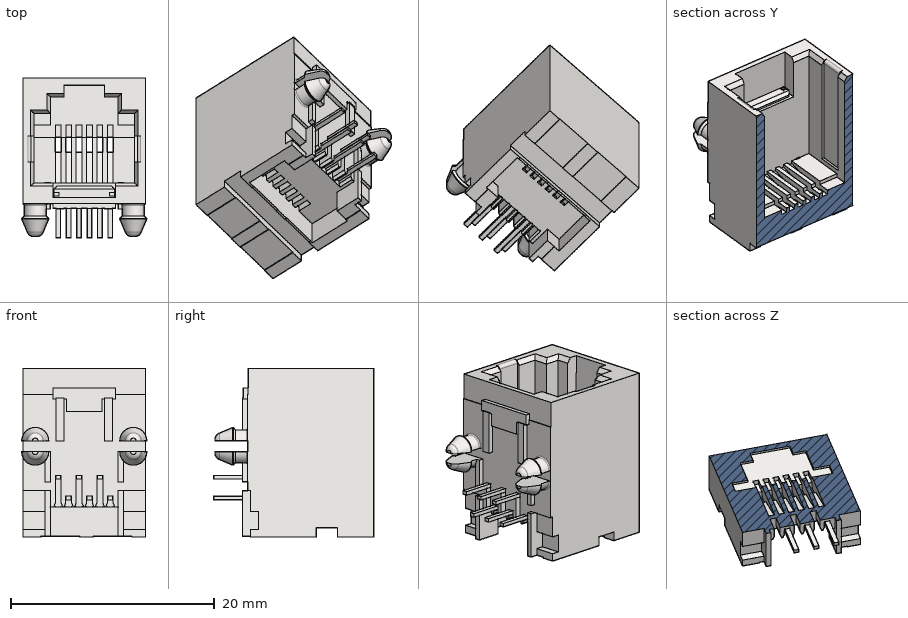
import cadquery as cq
import math


width = 12.04
height = 16.55
back_y = 12.39
half_width = width / 2
collar_bottom_z = 14.01
collar_setback = 0.07

chamber_half, chamber_back_y = 4.95, 8.88
step_half, step_back_y = 3.33, 10.50
latch_half, latch_back_y = 2.01, 11.62
chamber_front_y = 2.06
lead_in_side = 0.31
lead_in_back = 0.36
lead_in_front = 0.30
latch_draft = 0.08
lead_in_depth = 0.50

front_floor_z = 4.50
rear_floor_z = 4.10
corner_floor_z = 4.90
floor_step_y = 6.55
corner_floor_y = 7.75

groove_half = 5.20
groove_floor_z = 5.00
groove_front_y, groove_back_y = 4.14, 6.70
groove_lead_radius = 0.34

plate_half = 3.07
relief_front_y = 0.65
relief_floor_z = 12.00
ledge_top_z = 12.50
ledge_half = 2.98
ledge_back_y = 1.76
ledge_chamfer = 0.30
ledge_pocket_x, ledge_pocket_width = 2.73, 0.46
ledge_pocket_front_y, ledge_pocket_back_y = 0.78, 1.13
ledge_pocket_depth = 0.20

pin_count = 6
pin_pitch = 1.02
slot_width = 0.55
wire_back_y = 5.09
wire_back_drop, wire_front_drop = 1.00, 0.30
rear_slot_depth = 0.50
pin_width, pin_thickness = 0.48, 0.36
pin_tip_y = -3.32
long_row_top_z, short_row_top_z = 6.06, 4.02
wall_slot_width, slot_mouth_width = 0.58, 0.90
wall_slot_depth = 1.50
slot_flare_z = 3.35

cavity_half = 3.33
cavity_top_z = 2.97
cavity_wide_half = 4.90
wing_back_y = 2.14

standoff_y = -0.50
wing_thickness = 0.50
wing_half = cavity_half + wing_thickness
wing_top_z = 4.57
upper_rib_bottom_z = 5.43
plate_y = -0.42
plate_top_z, plate_bottom_z = 14.65, 13.58
tongue_half, tongue_bottom_z = 1.73, 12.33
tongue_fillet = 0.10
bar_inner_x, bar_outer_x = 2.00, 2.79
bar_top_z = 13.66

peg_x = 4.81
peg_z = 8.915
peg_gap = 1.05
peg_stem_radius, peg_barb_radius = 1.10, 1.33
peg_taper_radius, peg_tip_radius = 0.79, 0.28
peg_tip_bulge = 0.06
peg_root_fillet = 0.12
peg_stem_y, peg_barb_y, peg_barb_end_y = -1.18, -1.40, -1.47
peg_taper_y, peg_tip_y = -2.75, -3.20

corner_cut_y = 0.29
corner_pocket_y = 1.08
corner_pocket_bottom_z, corner_pocket_top_z = 0.77, 2.53
foot_height = 0.08
left_foot_x, right_foot_x = -4.26, 4.67
pad_left_x, pad_right_x = -0.46, 0.90
notch_front_y, notch_back_y, notch_height = 6.76, 8.81, 0.91


def box(x0, x1, y0, y1, z0, z1):
    return cq.Workplane("XY").box(x1 - x0, y1 - y0, z1 - z0, centered=False).translate((x0, y0, z0))


def both_sides(shape):
    return shape.union(shape.mirror("YZ"))


def tapered_mouth(inner, outer):
    """Ruled lead-in from the rim outline down to the chamber outline."""
    return (
        cq.Workplane("XY", origin=(0, 0, height - lead_in_depth))
        .polyline(inner).close()
        .workplane(offset=lead_in_depth)
        .polyline(outer).close()
        .loft(ruled=True)
    )


def stepped_outline(side, back, front):
    """Chamber and key step outline, enlarged by the given amounts."""
    right = [
        (chamber_half + side, chamber_front_y - front),
        (chamber_half + side, chamber_back_y + back),
        (step_half + side, chamber_back_y + back),
        (step_half + side, step_back_y + back),
    ]
    return right + [(-x, y) for x, y in reversed(right)]


def latch_step():
    """Latch step of the plug opening, its back wall drafted over the full depth."""
    profile = [
        (chamber_back_y, rear_floor_z),
        (latch_back_y, rear_floor_z),
        (latch_back_y + latch_draft, height),
        (chamber_back_y, height),
    ]
    return (
        cq.Workplane("YZ", origin=(-latch_half, 0, 0))
        .polyline(profile).close()
        .extrude(2 * latch_half)
    )


def housing():
    body = box(-half_width, half_width, 0, back_y, 0, height)
    collar = box(-half_width, half_width, 0, collar_setback, collar_bottom_z, height)
    return body.cut(collar)


def plug_opening():
    cut = box(-chamber_half, chamber_half, chamber_front_y, floor_step_y, front_floor_z, height)
    cut = cut.union(
        box(-chamber_half, chamber_half, floor_step_y, corner_floor_y, rear_floor_z, height)
    )
    cut = cut.union(
        box(-chamber_half, chamber_half, corner_floor_y, chamber_back_y, corner_floor_z, height)
    )
    cut = cut.union(box(-step_half, step_half, corner_floor_y, step_back_y, rear_floor_z, height))
    cut = cut.union(latch_step())
    rim = stepped_outline(lead_in_side, lead_in_back, lead_in_front)
    return cut.union(tapered_mouth(stepped_outline(0, 0, 0), rim))


def guide_grooves():
    round_start_z = height - groove_lead_radius
    diagonal = groove_lead_radius * math.sqrt(0.5)
    mouth_half = groove_half + groove_lead_radius
    groove = (
        cq.Workplane("XZ", origin=(0, groove_back_y, 0))
        .moveTo(0, groove_floor_z)
        .lineTo(groove_half, groove_floor_z)
        .lineTo(groove_half, round_start_z)
        .threePointArc((mouth_half - diagonal, round_start_z + diagonal), (mouth_half, height))
        .lineTo(0, height)
        .close()
        .extrude(groove_back_y - groove_front_y)
    )
    return both_sides(groove)


def wall_relief():
    return box(-plate_half, plate_half, relief_front_y, chamber_front_y, relief_floor_z, height)


def relief_ledge():
    """Chamfered ledge in the wall relief with a small pocket at each end."""
    shoulder_half = ledge_half - ledge_chamfer
    shoulder_y = ledge_back_y - ledge_chamfer
    right = [
        (ledge_half, relief_front_y),
        (ledge_half, shoulder_y),
        (shoulder_half, ledge_back_y),
    ]
    ledge = (
        cq.Workplane("XY", origin=(0, 0, relief_floor_z))
        .polyline(right + [(-x, y) for x, y in reversed(right)]).close()
        .extrude(ledge_top_z - relief_floor_z)
    )
    chamfer = (
        cq.Workplane("YZ", origin=(-ledge_half, 0, 0))
        .polyline([
            (shoulder_y, ledge_top_z),
            (ledge_back_y, ledge_top_z),
            (ledge_back_y, ledge_top_z - ledge_chamfer),
        ]).close()
        .extrude(2 * ledge_half)
    )
    pocket = box(
        ledge_pocket_x - ledge_pocket_width / 2, ledge_pocket_x + ledge_pocket_width / 2,
        ledge_pocket_front_y, ledge_pocket_back_y,
        ledge_top_z - ledge_pocket_depth, ledge_top_z,
    )
    return ledge.cut(chamfer).cut(both_sides(pocket))


def contact_slot(x):
    """Slot above one sloping wire, open to the cavity behind the wire, blind at the rear."""
    profile = [
        (chamber_front_y, front_floor_z),
        (chamber_front_y, front_floor_z - wire_front_drop),
        (wire_back_y, front_floor_z - wire_back_drop),
        (wire_back_y, cavity_top_z),
        (floor_step_y, cavity_top_z),
        (floor_step_y, rear_floor_z - rear_slot_depth),
        (corner_floor_y, rear_floor_z - rear_slot_depth),
        (corner_floor_y, front_floor_z),
    ]
    return (
        cq.Workplane("YZ", origin=(x - slot_width / 2, 0, 0))
        .polyline(profile).close()
        .extrude(slot_width)
    )


def wire_cavity():
    mouth = box(-cavity_half, cavity_half, 0, wing_back_y, 0, cavity_top_z)
    return mouth.union(
        box(-cavity_wide_half, cavity_wide_half, wing_back_y, floor_step_y, 0, cavity_top_z)
    )


def pin_slot(x, top_z):
    """Slot in the board-side wall, flared where it opens into the cavity."""
    right = [
        (slot_mouth_width / 2, cavity_top_z),
        (wall_slot_width / 2, slot_flare_z),
        (wall_slot_width / 2, top_z),
    ]
    outline = right + [(-dx, z) for dx, z in reversed(right)]
    return (
        cq.Workplane("XZ", origin=(x, wall_slot_depth, 0))
        .polyline(outline).close()
        .extrude(wall_slot_depth)
    )


def pin(x, top_z):
    return box(
        x - pin_width / 2, x + pin_width / 2,
        pin_tip_y, wall_slot_depth,
        top_z - pin_thickness, top_z,
    )


def front_plate():
    """Plate with a filleted tongue below it."""
    plate = box(-plate_half, plate_half, plate_y, collar_setback, plate_bottom_z, plate_top_z)
    tongue = box(-tongue_half, tongue_half, plate_y, collar_setback, tongue_bottom_z, plate_bottom_z)
    inner_corners = cq.selectors.BoxSelector(
        (-tongue_half - tongue_fillet, plate_y - tongue_fillet, plate_bottom_z - tongue_fillet),
        (tongue_half + tongue_fillet, tongue_fillet, plate_bottom_z + tongue_fillet),
    )
    return plate.union(tongue).edges("|Y").edges(inner_corners).fillet(tongue_fillet)


def standoffs():
    """Bars beside the tongue, ribs beside the pegs and wings along the cavity mouth."""
    upper_half_z = peg_z + peg_gap / 2
    lower_half_z = peg_z - peg_gap / 2
    bar = box(bar_inner_x, bar_outer_x, standoff_y, 0, upper_half_z, bar_top_z)
    rib = box(cavity_half, wing_half, standoff_y, 0, upper_rib_bottom_z, lower_half_z)
    wing = box(cavity_half, wing_half, standoff_y, wing_back_y, foot_height, wing_top_z)
    return both_sides(bar.union(rib).union(wing))


def peg_half():
    """Upper half of a snap peg, its flat on z = 0 and its axis along Y."""
    root_radius = peg_stem_radius + peg_root_fillet
    root_bulge = peg_root_fillet * (1 - math.sqrt(0.5))
    tip_bulge_radius = (peg_taper_radius + peg_tip_radius) / 2 + peg_tip_bulge
    tip_bulge_y = (peg_taper_y + peg_tip_y) / 2 - peg_tip_bulge
    return (
        cq.Workplane("XY")
        .moveTo(0, 0)
        .lineTo(root_radius, 0)
        .threePointArc(
            (peg_stem_radius + root_bulge, -root_bulge), (peg_stem_radius, -peg_root_fillet)
        )
        .lineTo(peg_stem_radius, peg_stem_y)
        .lineTo(peg_barb_radius, peg_barb_y)
        .lineTo(peg_barb_radius, peg_barb_end_y)
        .lineTo(peg_taper_radius, peg_taper_y)
        .threePointArc((tip_bulge_radius, tip_bulge_y), (peg_tip_radius, peg_tip_y))
        .lineTo(0, peg_tip_y)
        .close()
        .revolve(180, (0, 0, 0), (0, -1, 0))
    )


def pegs():
    half = peg_half()
    upper = half.translate((peg_x, 0, peg_gap / 2))
    lower = half.mirror("XY").translate((peg_x, 0, -peg_gap / 2))
    return both_sides(upper.union(lower).translate((0, 0, peg_z)))


def corner_cuts():
    cut = box(wing_half, half_width, 0, corner_cut_y, 0, wing_top_z)
    pocket = box(
        wing_half, half_width, 0, corner_pocket_y, corner_pocket_bottom_z, corner_pocket_top_z
    )
    return both_sides(cut.union(pocket))


def underside_cuts():
    notch = box(-half_width, half_width, notch_front_y, notch_back_y, 0, notch_height)
    left_band = box(left_foot_x, pad_left_x, 0, back_y, 0, foot_height)
    right_band = box(pad_right_x, right_foot_x, 0, back_y, 0, foot_height)
    return notch.union(left_band).union(right_band)


result = housing().cut(plug_opening()).cut(guide_grooves()).cut(wall_relief())
result = result.union(relief_ledge())
result = result.cut(wire_cavity()).cut(corner_cuts()).cut(underside_cuts())
result = result.union(front_plate()).union(standoffs()).union(pegs())

for index in range(pin_count):
    pin_x = (index - (pin_count - 1) / 2) * pin_pitch
    row_top_z = long_row_top_z if index % 2 == 0 else short_row_top_z
    result = result.cut(contact_slot(pin_x)).cut(pin_slot(pin_x, row_top_z))
    result = result.union(pin(pin_x, row_top_z))